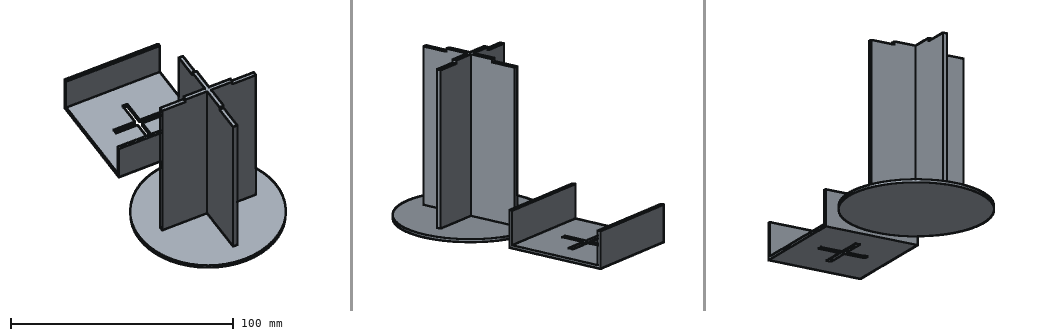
import cadquery as cq

total_length = 125.5
sheet = 1.5
cross_length = 51.0
cross_width = 48.0

disc_diameter = 70.0
stand_height = 78.0
plate_thickness = 2.1
tab_height = sheet
tab_length = cross_length / 2
tab_width = cross_width / 2

tray_height = 17.8
slot_clearance = 0.3

tray_x = disc_diameter / 2 - total_length + cross_length / 2


def cross(length, width, thickness, height, bottom):
    """Two crossed plates, one along X and one along Y, standing on z = bottom."""
    level = cq.Workplane("XY").workplane(offset=bottom)
    along_x = level.rect(length, thickness).extrude(height)
    along_y = level.rect(thickness, width).extrude(height)
    return along_x.union(along_y)


def make_stand():
    disc = cq.Workplane("XY").circle(disc_diameter / 2).extrude(sheet)
    shoulder_height = stand_height - tab_height
    plates = cross(cross_length, cross_width, plate_thickness, shoulder_height - sheet, sheet)
    tabs = cross(tab_length, tab_width, plate_thickness, tab_height, shoulder_height)
    return disc.union(plates).union(tabs)


def make_tray():
    centered_on_floor = (True, True, False)
    block = cq.Workplane("XY").box(cross_length, cross_width, tray_height, centered=centered_on_floor)
    channel = (
        cq.Workplane("XY")
        .workplane(offset=sheet)
        .rect(cross_length - 2 * sheet, cross_width)
        .extrude(tray_height - sheet)
    )
    slot = cross(
        tab_length + slot_clearance,
        tab_width + slot_clearance,
        plate_thickness + slot_clearance,
        sheet,
        0,
    )
    return block.cut(channel).cut(slot).translate((tray_x, 0, 0))


stand = make_stand()
tray = make_tray()

result = cq.Compound.makeCompound([stand.val(), tray.val()])